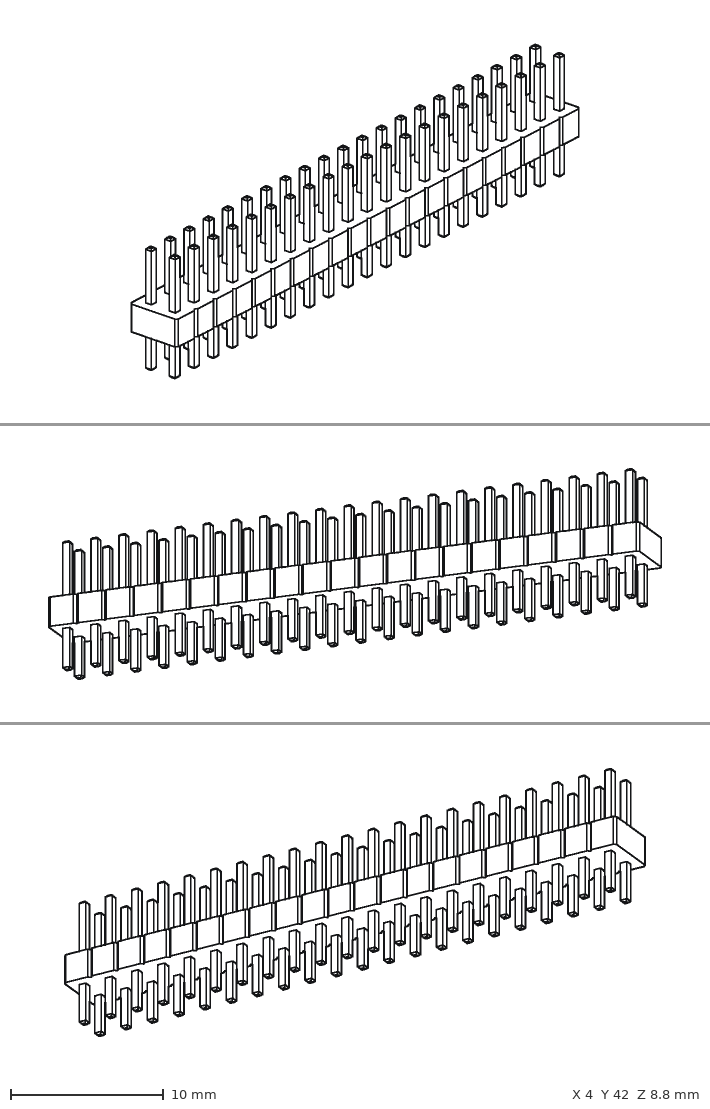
import cadquery as cq

LENGTH = 42.0
WIDTH = 4.0
HEIGHT = 2.0
SEGMENT_COUNT = 21
PITCH = LENGTH / SEGMENT_COUNT
CORNER_CHAMFER = 0.15

PIN_SIZE = 0.5
PIN_LENGTH = 8.8
PIN_BELOW_HOUSING = 2.8
TIP_CHAMFER = 0.13

ROW_POSITIONS = (-PITCH / 2, PITCH / 2)
SEGMENT_POSITIONS = [(i - (SEGMENT_COUNT - 1) / 2) * PITCH for i in range(SEGMENT_COUNT)]


def housing_outline():
    """Plan outline with chamfered corners, forming a V notch between segments."""
    side_x = WIDTH / 2
    notch_x = side_x - CORNER_CHAMFER
    flat_half = PITCH / 2 - CORNER_CHAMFER
    right_side = [(notch_x, -LENGTH / 2)]
    for y in SEGMENT_POSITIONS:
        right_side.append((side_x, y - flat_half))
        right_side.append((side_x, y + flat_half))
        right_side.append((notch_x, y + PITCH / 2))
    left_side = [(-x, y) for x, y in reversed(right_side)]
    return right_side + left_side


def make_housing():
    return cq.Workplane("XY").polyline(housing_outline()).close().extrude(HEIGHT)


def make_pins():
    """All pins, each running through the housing and tapered at both ends."""
    pin = (
        cq.Workplane("XY")
        .box(PIN_SIZE, PIN_SIZE, PIN_LENGTH, centered=(True, True, False))
        .faces("<Z or >Z")
        .chamfer(TIP_CHAMFER)
        .translate((0, 0, -PIN_BELOW_HOUSING))
    )
    locations = [(x, y) for x in ROW_POSITIONS for y in SEGMENT_POSITIONS]
    return cq.Workplane("XY").pushPoints(locations).eachpoint(pin.val(), combine=False)


result = make_housing().union(make_pins())